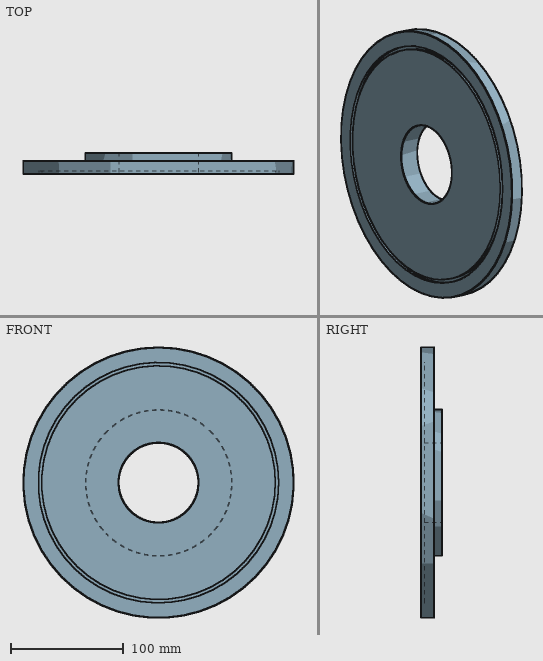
import cadquery as cq

disc_diameter = 240.0
disc_thickness = 12.0
hub_diameter = 130.0
hub_height = 7.0
bore_diameter = 70.3
groove_outer_diameter = 213.0
groove_inner_diameter = 207.0
groove_depth = 3.0
edge_chamfer = 0.5

disc_radius = disc_diameter / 2
hub_radius = hub_diameter / 2
bore_radius = bore_diameter / 2
total_thickness = disc_thickness + hub_height


def turned_body():
    """Disc, rear hub and bore, with every exposed corner chamfered, turned about Y."""
    section = (
        cq.Workplane("YZ")
        .moveTo(0, bore_radius + edge_chamfer)
        .lineTo(0, disc_radius - edge_chamfer)
        .lineTo(edge_chamfer, disc_radius)
        .lineTo(disc_thickness - edge_chamfer, disc_radius)
        .lineTo(disc_thickness, disc_radius - edge_chamfer)
        .lineTo(disc_thickness, hub_radius)
        .lineTo(total_thickness - edge_chamfer, hub_radius)
        .lineTo(total_thickness, hub_radius - edge_chamfer)
        .lineTo(total_thickness, bore_radius + edge_chamfer)
        .lineTo(total_thickness - edge_chamfer, bore_radius)
        .lineTo(edge_chamfer, bore_radius)
        .close()
    )
    return section.revolve(360, (0, 0, 0), (1, 0, 0))


def face_groove():
    """Ring that cuts the annular groove into the front face."""
    return (
        cq.Workplane("XZ")
        .circle(groove_outer_diameter / 2)
        .circle(groove_inner_diameter / 2)
        .extrude(-groove_depth)
    )


result = turned_body().cut(face_groove())